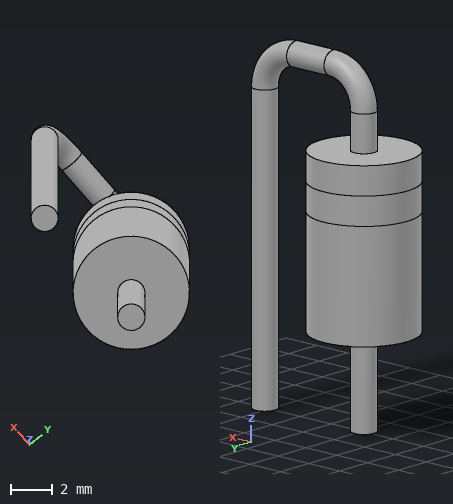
import cadquery as cq

overall_height = 18.69
body_diameter = 5.6
body_height = 9.05
body_bottom = 5.0
band_height = 1.51
wire_diameter = 1.3
lower_lead_tip = 0.04
bend_radius = 2.0
lead_spacing = 6.43

body_top = body_bottom + body_height
band_top = body_top - band_height
band_bottom = band_top - band_height
bridge_height = overall_height - wire_diameter / 2
bend_start = bridge_height - bend_radius
bridge_length = lead_spacing - 2 * bend_radius


def upright_cylinder(diameter, x, bottom, top):
    """Solid cylinder with a vertical axis at the given X, on the Y = 0 plane."""
    return (
        cq.Workplane("XY", origin=(x, 0, bottom))
        .circle(diameter / 2)
        .extrude(top - bottom)
    )


def wire_bend(x, side):
    """Quarter-circle bend from the lead at x; side is +1 to turn towards +X, -1 towards -X."""
    axis_start = (side * bend_radius, 0, 0)
    axis_end = (side * bend_radius, side, 0)
    return (
        cq.Workplane("XY", origin=(x, 0, bend_start))
        .circle(wire_diameter / 2)
        .revolve(90, axis_start, axis_end)
    )


main_section = upright_cylinder(body_diameter, 0, body_bottom, band_bottom)
marking_band = upright_cylinder(body_diameter, 0, band_bottom, band_top)
end_section = upright_cylinder(body_diameter, 0, band_top, body_top)

lower_lead = upright_cylinder(wire_diameter, 0, lower_lead_tip, body_bottom)
upper_lead = upright_cylinder(wire_diameter, 0, body_top, bend_start)
return_lead = upright_cylinder(wire_diameter, lead_spacing, 0, bend_start)

bends = [wire_bend(x, side) for x, side in ((0, 1), (lead_spacing, -1))]

bridge = (
    cq.Workplane("YZ", origin=(bend_radius, 0, bridge_height))
    .circle(wire_diameter / 2)
    .extrude(bridge_length)
)

result = cq.Compound.makeCompound([
    main_section.val(),
    marking_band.val(),
    end_section.val(),
    lower_lead.val(),
    upper_lead.val(),
    return_lead.val(),
    *[bend.val() for bend in bends],
    bridge.val(),
])